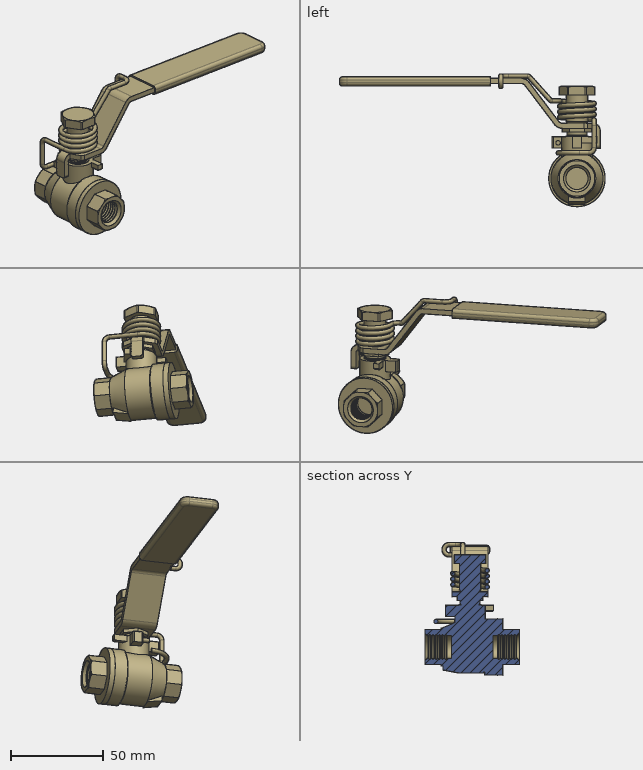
import cadquery as cq
import math


OVERALL_LENGTH = 144.2
OVERLAP = 1.5

INLET_X = -24.5
OUTLET_X = 27.0
CONE_START_X = -15.7
CONE_END_X = -6.5
FLANGE_START_X = 8.0
FLANGE_RIM_X = 15.0
FLANGE_END_X = 17.9
CONE_START_R = 10.2
BARREL_R = 14.1
FLANGE_R = 15.3
FLANGE_RIM_R = 30.7 / 2
GROOVE_WIDTH = 0.6
GROOVE_DEPTH = 0.5

END_FLATS = 19.0
END_CHAMFER = 0.6
BORE_R = 12.0 / 2
BORE_MOUTH_R = 14.5 / 2
BORE_DEPTH = 14.4
MOUTH_DEPTH = 1.7
THREAD_COUNT = 6
THREAD_PITCH = 1.7
THREAD_CREST = 0.3
THREAD_DEPTH = 0.7

PAD_WIDTH = 9.0
PAD_START_X = -14.7
PAD_START_Z = -12.5

NECK_R = 8.4
NECK_TOP_Z = 22.6
LUG_BOTTOM_Z = 16.5
STOP_BOTTOM_Z = 19.2
FRONT_STOP_OUTLINE = [(-9.2, -2.5), (-7.2, -11.0), (-4.2, -11.0), (-4.2, -2.5)]
RIGHT_STOP_X = 12.8
RIGHT_STOP_Y = (3.0, 6.2)
SIDE_LUG_X = -13.4
SIDE_LUG_WIDTH = 5.0
PIN_LUG_Y = 13.5
PIN_LUG_X = -1.5
PIN_LUG_LENGTH = 5.8
LUG_CHAMFER = 0.7
PIN_D = 2.5
PIN_Y = 10.2
PIN_Z = 19.3
PIN_LENGTH = 4.2

GLAND_R = 6.0
GLAND_HEIGHT = 0.3
SPACER_R = 5.5
SPACER_CHAMFER = 0.6
NUT_FLATS = 13.8
NUT_BOTTOM_Z = 25.1
SHANK_R = 5.9
SHANK_CHAMFER = 0.9
HEAD_FLATS = 17.2
HEAD_CORNER_R = 9.7
HEAD_BOTTOM_Z = 45.1
HEAD_TOP_Z = 50.0
HEAD_FACE_R = 8.5
HEAD_CHAMFER = 0.5

LEVER_WIDTH = 19.6
LEVER_THICKNESS = 2.9
LEVER_LOW_Z = 27.1
LEVER_HIGH_Z = 51.5
RISE_START_Y = 10.5
RISE_END_Y = 29.0
BEND_R = 4.0
LEVER_TIP_Y = -8.7
LEVER_SHOULDER_Y = -3.9
SHOULDER_END_Y = -5.8
SHOULDER_INSET = 1.0
TONGUE_WIDTH = 6.3
TONGUE_Y = -12.7
TONGUE_BOTTOM_Z = 16.3
TONGUE_BEND_R = 4.2
TONGUE_CORNER_R = 1.3

GRIP_START_Y = 46.9
GRIP_END_Y = OVERALL_LENGTH - FLANGE_RIM_R
GRIP_WIDTH = 21.5
GRIP_BOTTOM_Z = 50.0
GRIP_HEIGHT = 5.2
GRIP_CORNER_R = 4.2
GRIP_EDGE_R = 1.9

WIRE_D = 2.5
COIL_R = 18.6 / 2
COIL_HEIGHT = 10.4
COIL_TURNS = 3.5
COIL_START_Z = 31.7
LEG_X = -18.6
LEG_BEND_R = 2.9
LOOP_Z = 13.8
LOOP_START_Y = -1.5
LOOP_R = 11.5
ARM_X = -3.9
ARM_FOOT_Y = 14.1
ARM_CREST_Y = 26.3
HOOK_Y = 41.3
ARM_BEND_R = 4.0
KINK_R = 1.3
HOOK_X = -11.3
HOOK_R = 5.6 / 2
HOOK_END_X = -8.7
HOOK_GRIP = 0.07
SHORTEST_RUN = 0.0001


def box(x, y, z):
    """Box from three (low, high) ranges."""
    size = [high - low for low, high in (x, y, z)]
    return cq.Workplane("XY").box(*size, centered=False).translate((x[0], y[0], z[0]))


def disc(radius, bottom, top):
    """Upright cylinder on the stem axis."""
    return cq.Workplane("XY").workplane(offset=bottom).circle(radius).extrude(top - bottom)


def hexagon(across_flats, bottom, top):
    """Upright hexagonal prism on the stem axis with flats facing +X and -X."""
    corner_d = across_flats / math.cos(math.pi / 6)
    prism = cq.Workplane("XY").workplane(offset=bottom).polygon(6, corner_d).extrude(top - bottom)
    return prism.rotate((0, 0, 0), (0, 0, 1), 30)


def turned(points):
    """Solid of revolution about the pipe axis from (x, radius) points."""
    return cq.Workplane("XY").polyline(points).close().revolve(360, (0, 0, 0), (1, 0, 0))


def pipe_ends():
    corner_d = END_FLATS / math.cos(math.pi / 8)
    half_side_turn = 360 / 8 / 2
    octagon = (
        cq.Workplane("YZ").workplane(offset=INLET_X).polygon(8, corner_d)
        .extrude(OUTLET_X - INLET_X).rotate((0, 0, 0), (1, 0, 0), half_side_turn)
    )
    corner_r = corner_d / 2
    face_r = corner_r - END_CHAMFER
    envelope = turned([
        (INLET_X, 0),
        (INLET_X, face_r),
        (INLET_X + END_CHAMFER, corner_r),
        (OUTLET_X - END_CHAMFER, corner_r),
        (OUTLET_X, face_r),
        (OUTLET_X, 0),
    ])
    return octagon.intersect(envelope)


def barrel():
    groove_r = BARREL_R - GROOVE_DEPTH
    return turned([
        (CONE_START_X, 0),
        (CONE_START_X, CONE_START_R),
        (CONE_END_X, BARREL_R),
        (FLANGE_START_X - GROOVE_WIDTH, BARREL_R),
        (FLANGE_START_X - GROOVE_WIDTH, groove_r),
        (FLANGE_START_X, groove_r),
        (FLANGE_START_X, FLANGE_R),
        (FLANGE_RIM_X, FLANGE_R),
        (FLANGE_RIM_X, FLANGE_RIM_R),
        (FLANGE_END_X, FLANGE_RIM_R),
        (FLANGE_END_X, 0),
    ])


def bottom_pad():
    profile = [
        (PAD_START_X, 0),
        (PAD_START_X, PAD_START_Z),
        (CONE_END_X, -BARREL_R),
        (CONE_END_X, 0),
    ]
    return cq.Workplane("XZ").polyline(profile).close().extrude(PAD_WIDTH / 2, both=True)


def bore(end_x, inward):
    """Blind threaded bore with a chamfered mouth; inward is +1 or -1 along X."""
    profile = [(0, 0), (0, BORE_MOUTH_R), (MOUTH_DEPTH, BORE_R)]
    for groove in range(THREAD_COUNT):
        start = MOUTH_DEPTH + THREAD_CREST + groove * THREAD_PITCH
        end = start + THREAD_PITCH - THREAD_CREST
        profile += [(start, BORE_R), ((start + end) / 2, BORE_R + THREAD_DEPTH), (end, BORE_R)]
    profile += [(BORE_DEPTH, BORE_R), (BORE_DEPTH, 0)]
    return turned([(end_x + inward * depth, radius) for depth, radius in profile])


def neck():
    post = disc(NECK_R, 0, NECK_TOP_Z)
    half = SIDE_LUG_WIDTH / 2
    side_lug = box((SIDE_LUG_X, 0), (-half, half), (LUG_BOTTOM_Z, NECK_TOP_Z))
    pin_lug_end = PIN_LUG_X + PIN_LUG_LENGTH
    pin_lug = box((PIN_LUG_X, pin_lug_end), (0, PIN_LUG_Y), (LUG_BOTTOM_Z, NECK_TOP_Z))
    pin_lug = pin_lug.edges("|Z and >Y").chamfer(LUG_CHAMFER)
    pin = (
        cq.Workplane("YZ", origin=(PIN_LUG_X, PIN_Y, PIN_Z)).circle(PIN_D / 2).extrude(-PIN_LENGTH)
    )
    front_stop = (
        cq.Workplane("XY").workplane(offset=STOP_BOTTOM_Z)
        .polyline(FRONT_STOP_OUTLINE).close()
        .extrude(NECK_TOP_Z - STOP_BOTTOM_Z)
    )
    right_stop = box((0, RIGHT_STOP_X), RIGHT_STOP_Y, (STOP_BOTTOM_Z, NECK_TOP_Z))
    right_stop = right_stop.faces("<Z").edges(">X or <Y").chamfer(LUG_CHAMFER)
    return post.union(side_lug).union(pin_lug).union(pin).union(front_stop).union(right_stop)


def stem():
    lever_top = LEVER_LOW_Z + LEVER_THICKNESS
    gland_top = NECK_TOP_Z + GLAND_HEIGHT
    spacer = disc(SPACER_R, gland_top, NUT_BOTTOM_Z).faces("<Z").chamfer(SPACER_CHAMFER)
    head = hexagon(HEAD_FLATS, HEAD_BOTTOM_Z, HEAD_TOP_Z)
    rounding = disc(HEAD_CORNER_R, HEAD_BOTTOM_Z, HEAD_TOP_Z)
    rounding = rounding.faces(">Z").chamfer(HEAD_CHAMFER, HEAD_CORNER_R - HEAD_FACE_R)
    head = head.intersect(rounding)
    shank = disc(SHANK_R, lever_top, HEAD_BOTTOM_Z).faces("<Z").chamfer(SHANK_CHAMFER)
    return (
        disc(GLAND_R, NECK_TOP_Z, gland_top)
        .union(spacer)
        .union(hexagon(NUT_FLATS, NUT_BOTTOM_Z, LEVER_LOW_Z))
        .union(shank)
        .union(head)
    )


def lever():
    slope = math.atan2(LEVER_HIGH_Z - LEVER_LOW_Z, RISE_END_Y - RISE_START_Y)
    shift = LEVER_THICKNESS * math.tan(slope / 2)
    low_top = LEVER_LOW_Z + LEVER_THICKNESS
    high_top = LEVER_HIGH_Z + LEVER_THICKNESS
    plate = (
        cq.Workplane("YZ")
        .polyline([
            (LEVER_TIP_Y, LEVER_LOW_Z),
            (RISE_START_Y, LEVER_LOW_Z),
            (RISE_END_Y, LEVER_HIGH_Z),
            (GRIP_START_Y + OVERLAP, LEVER_HIGH_Z),
            (GRIP_START_Y + OVERLAP, high_top),
            (RISE_END_Y - shift, high_top),
            (RISE_START_Y - shift, low_top),
            (LEVER_TIP_Y, low_top),
        ])
        .close().extrude(LEVER_WIDTH / 2, both=True)
    )

    def bend_edge(y, z):
        return cq.selectors.NearestToPointSelector((0, y, z))

    inner_r = BEND_R - LEVER_THICKNESS / 2
    outer_r = BEND_R + LEVER_THICKNESS / 2
    plate = plate.edges(bend_edge(RISE_START_Y, LEVER_LOW_Z)).fillet(outer_r)
    plate = plate.edges(bend_edge(RISE_END_Y - shift, high_top)).fillet(outer_r)
    plate = plate.edges(bend_edge(RISE_END_Y, LEVER_HIGH_Z)).fillet(inner_r)
    plate = plate.edges(bend_edge(RISE_START_Y - shift, low_top)).fillet(inner_r)

    half = LEVER_WIDTH / 2
    tip_half = TONGUE_WIDTH / 2
    plan = (
        cq.Workplane("XY")
        .polyline([
            (-tip_half, LEVER_TIP_Y),
            (tip_half, LEVER_TIP_Y),
            (half - SHOULDER_INSET, SHOULDER_END_Y),
            (half, LEVER_SHOULDER_Y),
            (half, GRIP_END_Y),
            (-half, GRIP_END_Y),
            (-half, LEVER_SHOULDER_Y),
            (SHOULDER_INSET - half, SHOULDER_END_Y),
        ])
        .close().extrude(LEVER_HIGH_Z + LEVER_THICKNESS)
    )
    return plate.intersect(plan)


def tongue():
    """Strip bent down from the lever tip in front of the neck."""
    inside_y = TONGUE_Y + LEVER_THICKNESS
    low_top = LEVER_LOW_Z + LEVER_THICKNESS
    inner_r = TONGUE_BEND_R - LEVER_THICKNESS
    strip = (
        cq.Workplane("YZ")
        .moveTo(LEVER_TIP_Y + OVERLAP, low_top)
        .lineTo(TONGUE_Y + TONGUE_BEND_R, low_top)
        .radiusArc((TONGUE_Y, low_top - TONGUE_BEND_R), -TONGUE_BEND_R)
        .lineTo(TONGUE_Y, TONGUE_BOTTOM_Z)
        .lineTo(inside_y, TONGUE_BOTTOM_Z)
        .lineTo(inside_y, LEVER_LOW_Z - inner_r)
        .radiusArc((inside_y + inner_r, LEVER_LOW_Z), inner_r)
        .lineTo(LEVER_TIP_Y + OVERLAP, LEVER_LOW_Z)
        .close().extrude(TONGUE_WIDTH / 2, both=True)
    )
    return strip.faces("<Z").edges("|Y").fillet(TONGUE_CORNER_R)


def grip():
    sleeve = box(
        (-GRIP_WIDTH / 2, GRIP_WIDTH / 2),
        (GRIP_START_Y, GRIP_END_Y),
        (GRIP_BOTTOM_Z, GRIP_BOTTOM_Z + GRIP_HEIGHT),
    )
    sleeve = sleeve.edges("|Z and >Y").fillet(GRIP_CORNER_R)
    return sleeve.faces("+Z or -Z").edges("not <Y").fillet(GRIP_EDGE_R)


def wire_rod(points, bend_radii):
    """Round wire along straight runs between points, with a rounded bend at each inner point."""
    corners = [cq.Vector(*point) for point in points]
    runs = []
    run_start = corners[0]
    for before, corner, after, radius in zip(corners, corners[1:], corners[2:], bend_radii):
        arriving = (corner - before).normalized()
        leaving = (after - corner).normalized()
        turn = arriving.getAngle(leaving)
        setback = radius * math.tan(turn / 2)
        arc_start = corner - arriving * setback
        arc_end = corner + leaving * setback
        to_centre = (leaving - arriving).normalized()
        arc_middle = corner + to_centre * (radius / math.cos(turn / 2) - radius)
        if (arc_start - run_start).Length > SHORTEST_RUN:
            runs.append(cq.Edge.makeLine(run_start, arc_start))
        runs.append(cq.Edge.makeThreePointArc(arc_start, arc_middle, arc_end))
        run_start = arc_end
    if (corners[-1] - run_start).Length > SHORTEST_RUN:
        runs.append(cq.Edge.makeLine(run_start, corners[-1]))
    section_plane = cq.Plane(origin=corners[0], normal=corners[1] - corners[0])
    return cq.Workplane(section_plane).circle(WIRE_D / 2).sweep(cq.Wire.assembleEdges(runs))


def coil():
    helix = cq.Wire.makeHelix(COIL_HEIGHT / COIL_TURNS, COIL_HEIGHT, COIL_R)
    helix = helix.rotate(cq.Vector(0, 0, 0), cq.Vector(0, 0, 1), -90)
    helix = helix.translate(cq.Vector(0, 0, COIL_START_Z))
    section_plane = cq.Plane(origin=(0, -COIL_R, COIL_START_Z), normal=(1, 0, 0))
    return cq.Workplane(section_plane).circle(WIRE_D / 2).sweep(helix, isFrenet=True)


def lower_leg():
    """From the coil along -X, down, then along +Y into a loop behind the neck."""
    loop_end_y = LOOP_START_Y + LOOP_R
    points = [
        (0, -COIL_R, COIL_START_Z),
        (LEG_X, -COIL_R, COIL_START_Z),
        (LEG_X, -COIL_R, LOOP_Z),
        (LEG_X, loop_end_y, LOOP_Z),
        (LEG_X + LOOP_R, loop_end_y, LOOP_Z),
    ]
    return wire_rod(points, [LEG_BEND_R, LEG_BEND_R, LOOP_R])


def upper_arm():
    """From the coil top along the lever, ending in a hook around the lever's edge."""
    coil_end_z = COIL_START_Z + COIL_HEIGHT
    lever_top = LEVER_HIGH_Z + LEVER_THICKNESS
    arm_z = lever_top + WIRE_D / 2 - HOOK_GRIP
    hook_z = arm_z - 2 * HOOK_R
    points = [
        (0, COIL_R, coil_end_z),
        (ARM_X, COIL_R, coil_end_z),
        (ARM_X, ARM_FOOT_Y, coil_end_z),
        (ARM_X, ARM_CREST_Y, arm_z),
        (ARM_X, HOOK_Y, arm_z),
        (HOOK_X - HOOK_R, HOOK_Y, arm_z),
        (HOOK_X - HOOK_R, HOOK_Y, hook_z),
        (HOOK_END_X, HOOK_Y, hook_z),
    ]
    foot_r = -ARM_X
    return wire_rod(points, [foot_r, KINK_R, KINK_R, ARM_BEND_R, HOOK_R, HOOK_R])


valve = (
    pipe_ends().union(barrel()).union(bottom_pad()).union(neck())
    .cut(bore(INLET_X, 1)).cut(bore(OUTLET_X, -1))
)
handle = stem().union(lever()).union(tongue()).union(grip())
spring = coil().union(lower_leg()).union(upper_arm())
result = valve.union(handle).union(spring)